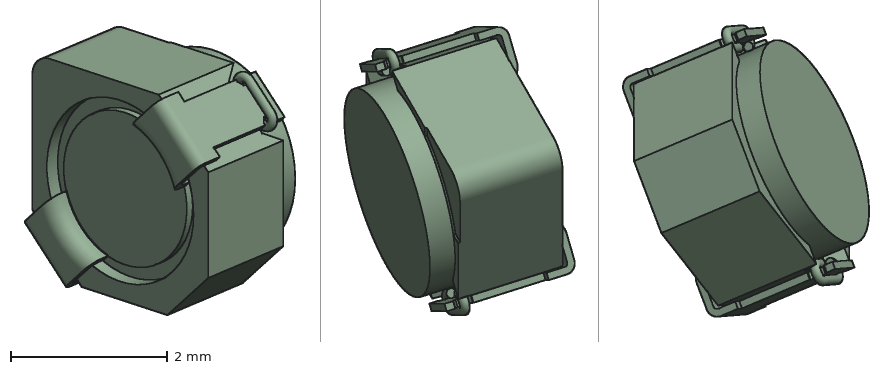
import cadquery as cq
import math


overall_width = 3.04

block_width = 3.0
block_depth = 1.45
half_block = block_width / 2
corner_radius = 0.3
terminal_corner_chamfer = 0.845
plain_corner_chamfer = 0.7

flange_radius = 1.398
flange_height = 0.35
well_radius = 1.25
well_depth = 0.21
boss_radius = 1.05
boss_height = 0.112

recess_depth = 0.025
recess_start = 0.405
recess_taper = 45.0

corner_flat_length = terminal_corner_chamfer * math.sqrt(2)
corner_flat_distance = (block_width - terminal_corner_chamfer) / math.sqrt(2)
notch_depth = 0.25
notch_floor_width = 0.803

sheet = 0.1
terminal_width = 1.0
terminal_outer = overall_width / math.sqrt(2) - terminal_width / 2
terminal_inner = terminal_outer - sheet
lip_bend_radius = well_radius - boss_radius
terminal_front = -lip_bend_radius
foot_depth = 0.4
foot_bend_radius = 0.15
stem_width = 0.702
stem_end = block_depth + 0.125
lip_depth = 0.11
wire_seat_step = 0.033
wire_seat_depth = 0.11

wire_diameter = 0.128
wire_radius = wire_diameter / 2
wire_y = block_depth - notch_depth / 2
hook_center = terminal_inner + sheet / 2
hook_end_radius = sheet / 2 + wire_radius
wire_half_straight = 0.252
wire_tail = 0.152

terminal_turns = [-45, 135]


def turned(body, angle):
    return body.rotate((0, 0, 0), (0, 1, 0), angle)


def cylinder(radius, start, end):
    """A cylinder on the Y axis between two depths."""
    return cq.Workplane("XZ", origin=(0, start, 0)).circle(radius).extrude(start - end)


def block():
    """The square block with its rounded, plain and terminal corners."""
    body = cq.Workplane("XY").box(block_width, block_depth, block_width, centered=(True, False, True))
    body = body.edges("|Y and <X and >Z").fillet(corner_radius)
    body = body.edges("|Y and >X and <Z").chamfer(plain_corner_chamfer)
    body = body.edges(cq.selectors.NearestToPointSelector((half_block, block_depth / 2, half_block)))
    body = body.chamfer(terminal_corner_chamfer)
    body = body.edges(cq.selectors.NearestToPointSelector((-half_block, block_depth / 2, -half_block)))
    return body.chamfer(terminal_corner_chamfer)


def corner_recess():
    """The square-cornered recess outside the flange, with walls that slope outward to the back face."""
    floor_y = block_depth - recess_depth
    slope_run = recess_depth * math.tan(math.radians(recess_taper))
    side = half_block - recess_start - slope_run
    center = half_block - side / 2
    pocket = (
        cq.Workplane("XZ", origin=(0, floor_y, 0))
        .center(-center, center)
        .rect(side, side)
        .extrude(-recess_depth, taper=-recess_taper)
    )
    core_cone = (
        cq.Workplane("XY")
        .moveTo(0, floor_y)
        .lineTo(flange_radius + slope_run, floor_y)
        .lineTo(flange_radius, block_depth)
        .lineTo(0, block_depth)
        .close()
        .revolve(360, (0, 0, 0), (0, 1, 0))
    )
    return pocket.cut(core_cone)


def wire_notch():
    """The trapezoid notch at the +X side, from the axis out through the corner flat."""
    floor_y = block_depth - notch_depth
    return (
        cq.Workplane("ZY")
        .moveTo(-notch_floor_width / 2, floor_y)
        .lineTo(notch_floor_width / 2, floor_y)
        .lineTo(corner_flat_length / 2, block_depth)
        .lineTo(-corner_flat_length / 2, block_depth)
        .close()
        .extrude(-corner_flat_distance)
    )


def make_core():
    """The block, with a flange that starts at the notch floors and closes the inner end of each notch."""
    flange = cylinder(flange_radius, block_depth - notch_depth, block_depth + flange_height)
    well = cylinder(well_radius, 0, well_depth)
    boss = cylinder(boss_radius, well_depth - boss_height, well_depth)
    body = block().cut(corner_recess())
    for angle in terminal_turns:
        body = body.cut(turned(wire_notch(), angle))
    return body.union(flange).cut(well).union(boss)


def terminal_foot():
    """The wide L-shaped foot, bent from the front plate up the side of the block."""
    foot = (
        cq.Workplane("XY")
        .moveTo(0, terminal_front)
        .lineTo(terminal_outer, terminal_front)
        .lineTo(terminal_outer, terminal_front + foot_depth)
        .lineTo(terminal_inner, terminal_front + foot_depth)
        .lineTo(terminal_inner, terminal_front + sheet)
        .lineTo(0, terminal_front + sheet)
        .close()
        .extrude(terminal_width / 2, both=True)
    )
    inside = cq.selectors.NearestToPointSelector((terminal_inner, terminal_front + sheet, 0))
    outside = cq.selectors.NearestToPointSelector((terminal_outer, terminal_front, 0))
    foot = foot.edges(inside).fillet(foot_bend_radius - sheet)
    foot = foot.edges(outside).fillet(foot_bend_radius)
    return foot.cut(cylinder(well_radius, terminal_front, 0))


def terminal_lip():
    """The curved lip that follows the edge of the well and turns down into it."""
    diagonal = math.sqrt(0.5)
    inner_bend = lip_bend_radius - sheet
    ring = (
        cq.Workplane("XY")
        .moveTo(well_radius, terminal_front)
        .threePointArc(
            (well_radius - lip_bend_radius * diagonal, -lip_bend_radius * diagonal), (boss_radius, 0)
        )
        .lineTo(boss_radius, lip_depth)
        .lineTo(boss_radius + sheet, lip_depth)
        .lineTo(boss_radius + sheet, 0)
        .threePointArc(
            (well_radius - inner_bend * diagonal, -inner_bend * diagonal), (well_radius, -inner_bend)
        )
        .close()
        .revolve(360, (0, 0, 0), (0, 1, 0))
    )
    span = cq.Workplane("XY").box(block_width, block_width, terminal_width, centered=(False, True, True))
    return ring.intersect(span)


def terminal_stem():
    """The narrow upright strip with a seat for the wire in each edge."""
    stem_start = terminal_front + foot_depth
    edge = stem_width / 2
    shoulder = edge - wire_seat_step
    seat = edge - wire_seat_depth
    stem = (
        cq.Workplane("ZY", origin=(terminal_outer, 0, 0))
        .moveTo(-edge, stem_start)
        .lineTo(-edge, wire_y - notch_depth / 2)
        .lineTo(-shoulder, wire_y - notch_depth / 2)
        .lineTo(-seat, wire_y - wire_radius)
        .lineTo(-seat, wire_y + wire_radius)
        .lineTo(-shoulder, wire_y + notch_depth / 2)
        .lineTo(-edge, wire_y + notch_depth / 2)
        .lineTo(-edge, stem_end)
        .lineTo(0, stem_end)
        .lineTo(0, stem_start)
        .close()
        .extrude(sheet)
    )
    return stem.union(stem.mirror("XY"))


def make_terminal():
    return terminal_foot().union(terminal_lip()).union(terminal_stem())


def make_wire_hook():
    """An open hook of round wire: across the outside of the stem, around both edges and part way back."""
    inner_x = hook_center - hook_end_radius
    outer_x = hook_center + hook_end_radius
    tail_start = wire_tail - wire_half_straight
    path = (
        cq.Workplane("XZ", origin=(0, wire_y, 0))
        .moveTo(inner_x, tail_start)
        .lineTo(inner_x, -wire_half_straight)
        .threePointArc((hook_center, -wire_half_straight - hook_end_radius), (outer_x, -wire_half_straight))
        .lineTo(outer_x, wire_half_straight)
        .threePointArc((hook_center, wire_half_straight + hook_end_radius), (inner_x, wire_half_straight))
    )
    return cq.Workplane("XY", origin=(inner_x, wire_y, tail_start)).circle(wire_radius).sweep(path)


core = make_core()
terminals = [turned(make_terminal(), angle) for angle in terminal_turns]

first_turn, second_turn = terminal_turns
wire_hooks = [
    turned(make_wire_hook(), first_turn),
    turned(make_wire_hook().mirror("XY"), second_turn),
]

bodies = [core, *terminals, *wire_hooks]
result = cq.Compound.makeCompound([body.solids().val() for body in bodies])